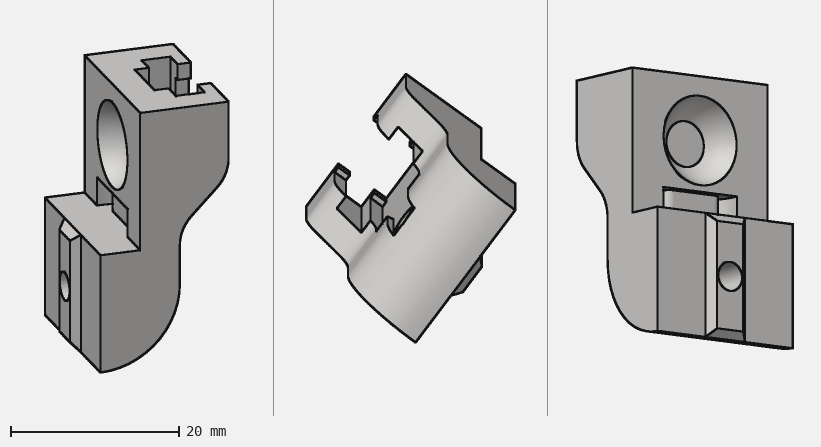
import cadquery as cq
import math

width = 20.0
height = 32.5
upper_back = 11.15
wall = 4.05
foot_radius = 10.0
foot_front = -foot_radius / 2
foot_back = foot_front + foot_radius
shelf_z = 14.98
slope = math.radians(45)
slope_blend = 5.0

rib_width = 5.85
rib_height = 1.0
rib_taper = 45

slot_opening = 7.1
slot_width = 12.3
slot_front = 5.85
slot_lip = 1.7
cavity_width = 8.58
cavity_roof = 2.0
groove_width = 4.13

channel_width = 10.85
channel_height = 3.58
core_flat = 6.0
core_corner = 1.0
core_setback = 1.15

bowl_z = 24.73
bowl_radius = 5.4
bowl_floor_radius = 2.75
bowl_depth = 3.0
bolt_hole = 3.5
bolt_z = 7.48


def box(size_x, y_front, y_back, z_low, z_high):
    """Box centred on X."""
    return (
        cq.Workplane("XY", origin=(0, (y_front + y_back) / 2, z_low))
        .rect(size_x, y_back - y_front)
        .extrude(z_high - z_low)
    )


def make_body():
    tangent = slope_blend * math.tan(slope / 2)
    leg = tangent * math.sin(slope)
    slope_low_z = shelf_z + tangent
    slope_high_z = slope_low_z + upper_back - foot_back
    foot_leg = foot_radius * math.sqrt(0.5)
    profile = (
        cq.Workplane("YZ", origin=(-width / 2, 0, 0))
        .moveTo(foot_front, 0)
        .threePointArc((foot_front + foot_leg, foot_radius - foot_leg), (foot_back, foot_radius))
        .lineTo(foot_back, shelf_z)
        .tangentArcPoint((foot_back + leg, slope_low_z + leg), relative=False)
        .lineTo(upper_back - leg, slope_high_z - leg)
        .tangentArcPoint((upper_back, slope_high_z + tangent), relative=False)
        .lineTo(upper_back, height)
        .lineTo(0, height)
        .lineTo(0, shelf_z)
        .lineTo(foot_front, shelf_z)
        .close()
    )
    return profile.extrude(width)


def make_rib():
    return (
        cq.Workplane("XZ", origin=(0, foot_front, shelf_z / 2))
        .rect(rib_width, shelf_z)
        .extrude(rib_height, taper=rib_taper)
    )


def make_rear_slots():
    mouth = box(slot_opening, wall, upper_back, height - cavity_roof, height)
    undercut = box(slot_width, slot_front, upper_back - slot_lip, shelf_z, height)
    cavity = box(cavity_width, wall, upper_back, shelf_z, height - cavity_roof)
    groove = box(groove_width, wall, upper_back, 0, shelf_z)
    ramp_drop = upper_back - wall
    ramp = (
        cq.Workplane("YZ", origin=(-cavity_width / 2, 0, 0))
        .moveTo(wall, shelf_z)
        .lineTo(upper_back, shelf_z)
        .lineTo(upper_back, shelf_z - ramp_drop)
        .close()
        .extrude(cavity_width)
    )
    return mouth.union(undercut).union(cavity).union(groove).union(ramp)


def make_strap_channel():
    """Opening that narrows into the cavity around a core with rounded corners."""
    half_front = channel_width / 2
    half_back = cavity_width / 2
    centre_y = (wall**2 + half_back**2 - half_front**2) / (2 * wall)
    radius = math.hypot(half_front, centre_y)
    opening = (
        cq.Workplane("XY", origin=(0, 0, shelf_z))
        .moveTo(-half_front, 0)
        .lineTo(half_front, 0)
        .radiusArc((half_back, wall), -radius)
        .lineTo(-half_back, wall)
        .radiusArc((-half_front, 0), -radius)
        .close()
        .extrude(channel_height)
    )
    core = (
        box(core_flat + 2 * core_corner, core_setback, wall, shelf_z, shelf_z + channel_height)
        .edges("|Z and <Y")
        .fillet(core_corner)
    )
    return opening.cut(core)


def make_bowl():
    """Spherical dish with a flat floor, sunk into the upper front face."""
    centre_out = (bowl_radius**2 - bowl_floor_radius**2 - bowl_depth**2) / (2 * bowl_depth)
    sphere_radius = math.hypot(bowl_radius, centre_out)
    half_section = (
        cq.Workplane("XY", origin=(0, 0, bowl_z))
        .lineTo(bowl_radius, 0)
        .radiusArc((bowl_floor_radius, bowl_depth), -sphere_radius)
        .lineTo(0, bowl_depth)
        .close()
    )
    return half_section.revolve(360, (0, 0, 0), (0, 1, 0))


def make_bolt_hole():
    return (
        cq.Workplane("XZ", origin=(0, upper_back, bolt_z))
        .circle(bolt_hole / 2)
        .extrude(upper_back - foot_front + rib_height)
    )


result = (
    make_body()
    .union(make_rib())
    .cut(make_rear_slots())
    .cut(make_strap_channel())
    .cut(make_bowl())
    .cut(make_bolt_hole())
)